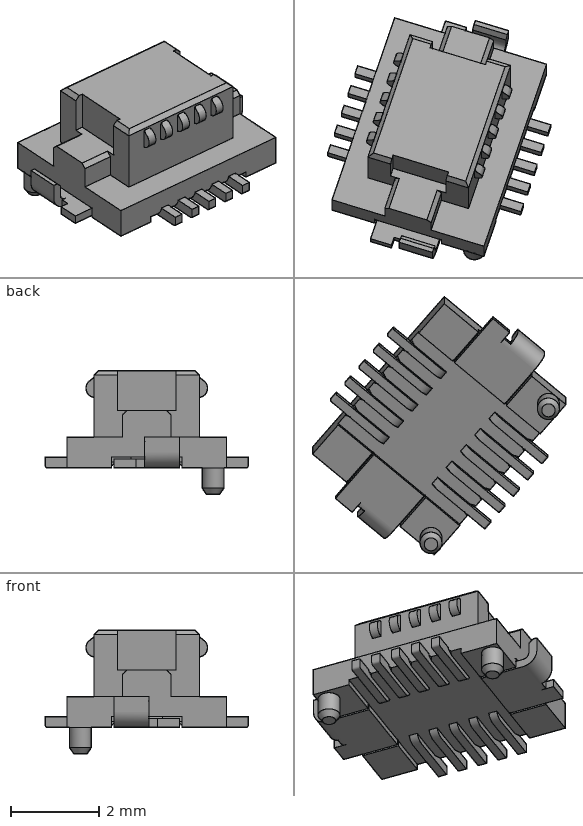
import cadquery as cq
import math

overall_length = 5.6
overall_width = 4.6
overall_height = 2.8
peg_length = 0.6
edge_chamfer = 0.1

base_width = 3.62
base_length = 4.6
base_height = 0.7
body_width = 2.395
body_length = 3.09
body_top = overall_height - peg_length
rib_width = 1.105
rib_top = 1.3
end_pocket_width = 1.315
end_pocket_depth = 0.19

groove_length = 2.81
groove_height = 0.14
notch_width = 1.59
notch_height = 0.245

contact_count = 5
contact_pitch = 0.5
contact_width = 0.2
lead_height = 0.245
lead_inner_x = 0.695
lead_tip_radius = 0.05
flare_size = 0.06
flare_depth = 0.135
bump_reach = 0.18
bump_shoulder = 0.13
bump_bottom = 1.595
bump_crest = 1.805
bump_shoulder_z = 1.945
bump_top = 2.05
bump_corner_radius = 0.05

clip_thickness = 0.2
clip_half_width = 0.745
clip_outer_radius = 0.35
clip_inner_radius = clip_outer_radius - clip_thickness
hook_right_x = 0.05
tab_left_x = 0.245
tab_end_y = 2.75
strip_end_y = 2.555
tongue_half_width = 0.36
tongue_face_y = 1.96

peg_diameter = 0.5
peg_tip_diameter = 0.3
peg_tip_height = 0.145
peg_x = -1.5
peg_y = base_length / 2 - peg_diameter / 2

contact_positions = [(i - (contact_count - 1) / 2) * contact_pitch for i in range(contact_count)]


def box(x_range, y_range, z_range):
    """Box spanning the given (low, high) pairs."""
    (x0, x1), (y0, y1), (z0, z1) = x_range, y_range, z_range
    return cq.Workplane("XY").box(x1 - x0, y1 - y0, z1 - z0, centered=False).translate((x0, y0, z0))


def centered_box(width, length, z_low, z_high):
    """Box centred on the Z axis, between two heights."""
    return box((-width / 2, width / 2), (-length / 2, length / 2), (z_low, z_high))


def make_housing():
    base = centered_box(base_width, base_length, 0, base_height)
    body = centered_box(body_width, body_length, 0, body_top).faces(">Z").chamfer(edge_chamfer)
    pocket_span = body_length - 2 * end_pocket_depth
    end_pockets = centered_box(end_pocket_width, body_length, rib_top, body_top).cut(
        centered_box(end_pocket_width, pocket_span, rib_top, body_top)
    )
    rib = centered_box(rib_width, base_length, 0, rib_top).edges("|Y and >Z").chamfer(edge_chamfer)
    housing = base.union(body.cut(end_pockets)).union(rib)

    housing = housing.cut(centered_box(base_width, groove_length, 0, groove_height))
    notches = centered_box(notch_width, base_length, 0, notch_height).cut(
        centered_box(notch_width, groove_length, 0, notch_height)
    )
    return housing.cut(notches)


def make_lead_flare():
    """Flared mouth around a lead on the +X side wall, narrowing inward."""
    bottom_half = contact_width / 2 + flare_size
    top_half = contact_width / 2
    flare_top = groove_height + flare_size

    def outline(plane, inset):
        return plane.polyline([
            (-bottom_half + inset, groove_height),
            (bottom_half - inset, groove_height),
            (top_half - inset, flare_top),
            (-top_half + inset, flare_top),
        ]).close()

    mouth = outline(cq.Workplane("YZ", origin=(base_width / 2, 0, 0)), 0)
    return outline(mouth.workplane(offset=-flare_depth), flare_size).loft(ruled=True)


def make_lead():
    """Lead on the +X side, rounded under its tip and where it bends up inside."""
    lead = box(
        (lead_inner_x, overall_width / 2),
        (-contact_width / 2, contact_width / 2),
        (0, lead_height),
    )
    lead = lead.edges("|Y and >X and <Z").fillet(lead_tip_radius)
    bend_center = (lead_inner_x + lead_height, lead_height)
    bend_middle = tuple(c - lead_height * math.sqrt(0.5) for c in bend_center)
    bend_corner = (
        cq.Workplane("XZ")
        .moveTo(lead_inner_x, 0)
        .lineTo(lead_inner_x + lead_height, 0)
        .threePointArc(bend_middle, (lead_inner_x, lead_height))
        .close()
        .extrude(contact_width / 2, both=True)
    )
    return lead.cut(bend_corner)


def make_bump():
    """Contact bump on the +X wall: sloped above, rounded below, with rounded top corners."""
    wall_x = body_width / 2
    side_shape = (
        cq.Workplane("XZ")
        .moveTo(wall_x, bump_bottom)
        .threePointArc((wall_x + bump_reach, bump_crest), (wall_x + bump_shoulder, bump_shoulder_z))
        .lineTo(wall_x, bump_top)
        .close()
        .extrude(contact_width / 2, both=True)
    )
    face_shape = box(
        (wall_x, overall_width / 2),
        (-contact_width / 2, contact_width / 2),
        (bump_bottom, bump_top),
    )
    return side_shape.intersect(face_shape.edges("|X and >Z").fillet(bump_corner_radius))


def both_sides(shape, y):
    """Copies of a +X side feature at position y along the row, on both sides."""
    placed = shape.translate((0, y, 0))
    return placed.union(placed.mirror("YZ"))


def extrude_clip_profile(profile, x_low, x_high):
    """Extrude a YZ clip profile between two X positions."""
    return profile.extrude(x_high - x_low).translate((x_low, 0, 0))


def make_clip():
    """Clip at the +Y end: plate, upturned hook, flat tab and inner tongue."""
    hook_end_y = overall_length / 2
    hook_inner_y = hook_end_y - clip_thickness
    bend_y = hook_end_y - clip_outer_radius
    bend_z = clip_outer_radius
    outer_step = clip_outer_radius * math.sqrt(0.5)
    inner_step = clip_inner_radius * math.sqrt(0.5)
    plate_inner_y = groove_length / 2
    hook_profile = (
        cq.Workplane("YZ")
        .moveTo(plate_inner_y, 0)
        .lineTo(bend_y, 0)
        .threePointArc((bend_y + outer_step, bend_z - outer_step), (hook_end_y, bend_z))
        .lineTo(hook_end_y, base_height)
        .lineTo(hook_end_y - clip_thickness + edge_chamfer, base_height)
        .lineTo(hook_inner_y, base_height - edge_chamfer)
        .lineTo(hook_inner_y, bend_z)
        .threePointArc((bend_y + inner_step, bend_z - inner_step), (bend_y, clip_thickness))
        .lineTo(plate_inner_y, clip_thickness)
        .close()
    )
    hook = extrude_clip_profile(hook_profile, -clip_half_width, tab_left_x)

    gap_x = (hook_right_x, tab_left_x)
    hook = hook.cut(box(gap_x, (plate_inner_y, hook_end_y), (clip_thickness, base_height)))
    hook = hook.cut(box(gap_x, (strip_end_y, hook_end_y), (0, base_height)))
    tab = box((tab_left_x, clip_half_width), (plate_inner_y, tab_end_y), (0, clip_thickness))

    tongue_profile = (
        cq.Workplane("YZ")
        .moveTo(tongue_face_y - clip_thickness, 0)
        .lineTo(tongue_face_y + clip_inner_radius, 0)
        .lineTo(tongue_face_y + clip_inner_radius, clip_thickness)
        .threePointArc(
            (tongue_face_y + clip_inner_radius - inner_step, clip_outer_radius - inner_step),
            (tongue_face_y, clip_outer_radius),
        )
        .lineTo(tongue_face_y - clip_thickness, clip_outer_radius)
        .close()
    )
    tongue = extrude_clip_profile(tongue_profile, -tongue_half_width, tongue_half_width)
    return hook.union(tab).union(tongue)


def make_peg():
    """Locating peg with a conical tip, at the +Y end."""
    radius = peg_diameter / 2
    return (
        cq.Workplane("XZ")
        .moveTo(0, 0)
        .lineTo(radius, 0)
        .lineTo(radius, peg_tip_height - peg_length)
        .lineTo(peg_tip_diameter / 2, -peg_length)
        .lineTo(0, -peg_length)
        .close()
        .revolve(360, (0, 0, 0), (0, 1, 0))
        .translate((peg_x, peg_y, 0))
    )


result = make_housing()
for contact_y in contact_positions:
    result = result.cut(both_sides(make_lead_flare(), contact_y))
    result = result.union(both_sides(make_lead(), contact_y))
    result = result.union(both_sides(make_bump(), contact_y))
for end_feature in (make_clip(), make_peg()):
    result = result.union(end_feature).union(end_feature.mirror("XZ"))